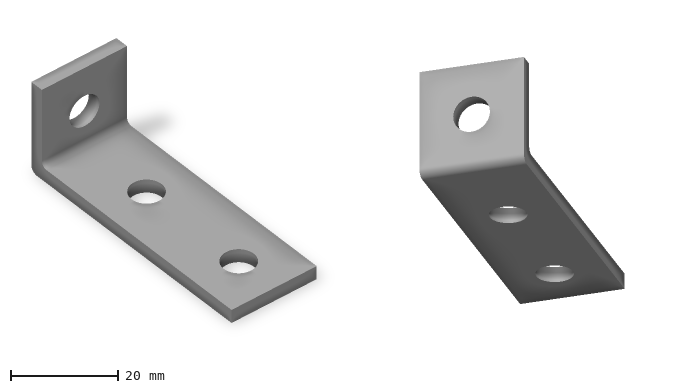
import cadquery as cq

length = 58.7
width = 20.6
height = 21.4
thickness = 3.1

outer_radius = 1.65
inner_radius = 1.3

hole_diameter = 7.2
near_hole_x = 21.3
hole_spacing = 27.0
wall_hole_z = 11.15


def make_angle():
    """L-shaped profile in XZ, centred across the width, with a rounded bend."""
    angle = (
        cq.Workplane("XZ")
        .polyline([
            (0, 0),
            (length, 0),
            (length, thickness),
            (thickness, thickness),
            (thickness, height),
            (0, height),
        ])
        .close()
        .extrude(width / 2, both=True)
    )
    outer_corner = cq.selectors.NearestToPointSelector((0, 0, 0))
    inner_corner = cq.selectors.NearestToPointSelector((thickness, 0, thickness))
    angle = angle.edges("|Y").edges(inner_corner).fillet(inner_radius)
    return angle.edges("|Y").edges(outer_corner).fillet(outer_radius)


def base_holes():
    """Two vertical drills through the long leg."""
    return (
        cq.Workplane("XY")
        .pushPoints([(near_hole_x, 0), (near_hole_x + hole_spacing, 0)])
        .circle(hole_diameter / 2)
        .extrude(thickness)
    )


def wall_hole():
    """One horizontal drill through the short upright leg."""
    return (
        cq.Workplane("YZ")
        .center(0, wall_hole_z)
        .circle(hole_diameter / 2)
        .extrude(thickness)
    )


result = make_angle().cut(base_holes()).cut(wall_hole())